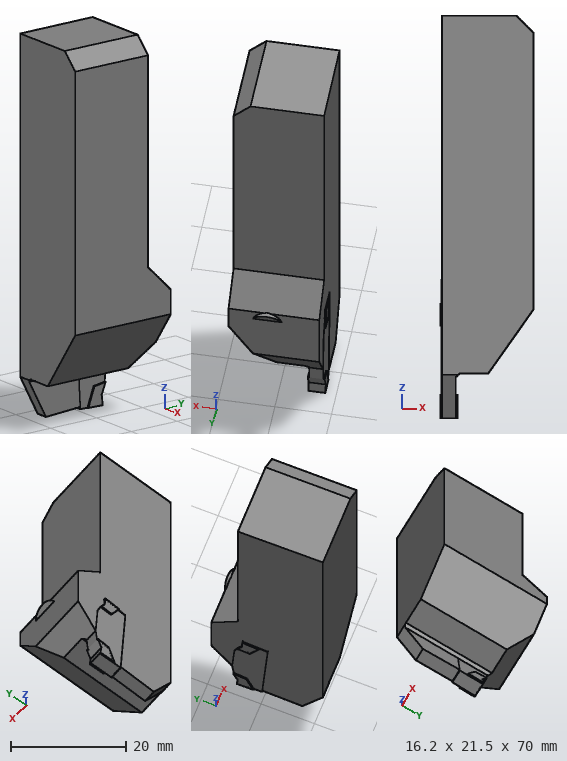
import cadquery as cq
import math

LENGTH = 70.0
SHANK = 15.9
TOP_CHAMFER = 3.0
FACE_DRAFT = 0.15

OVERHANG_Y = 20.85
OVERHANG_TOP_Z = 23.45
OVERHANG_LOW_Z = 12.9
BLADE_THICKNESS = 2.4
BLADE_TOP_Z = 7.8
BLADE_ROOT_CHAMFER = 0.6
UNDERSIDE_X = 8.0
SIDE_BEVEL_Z = 19.0
FRONT_BEVEL_Y = 3.85
FRONT_BEVEL_Z = 7.55
BLADE_FRONT_Z = 0.1
BLADE_BACK_Z = 0.5

BOSS_RADIUS = 2.7
BOSS_TILT = 22.0
BOSS_X = 9.0
BOSS_PEAK_Y = 21.5
BOSS_PEAK_Z = 23.25
BOSS_DEPTH = 1.4

INSERT_BODY_OUTER_X = -0.15
OVERALL_WIDTH = 16.25
END_OUTER_X = SHANK - OVERALL_WIDTH
END_INNER_X = 2.65
LOWER_TIP = (16.0, 0.0)
LOWER_RELIEF = (15.8, 1.95)
LOWER_SHOULDER = (16.65, 4.1)
SEAT_BACK = (16.95, 6.9)
SEAT_FRONT = (11.35, 0.1)
UPPER_SHOULDER = (15.9, 16.25)
UPPER_RELIEF = (15.05, 17.9)
UPPER_TIP = (15.0, 19.95)
INSERT_OUTLINE = [
    SEAT_FRONT,
    LOWER_TIP,
    LOWER_RELIEF,
    LOWER_SHOULDER,
    SEAT_BACK,
    (16.5, 14.35),
    UPPER_SHOULDER,
    UPPER_RELIEF,
    UPPER_TIP,
    (10.3, 19.45),
]
LOWER_END_OUTLINE = [(12.9, 0.1), LOWER_TIP, LOWER_RELIEF, LOWER_SHOULDER, (14.2, 3.8)]
UPPER_END_OUTLINE = [(11.9, 19.6), (13.5, 16.1), UPPER_SHOULDER, UPPER_RELIEF, UPPER_TIP]


def side_plate(outline, x_start, x_end):
    """Plate with a (y, z) outline, between two X positions."""
    return cq.Workplane("YZ", origin=(x_start, 0, 0)).polyline(outline).close().extrude(x_end - x_start)


def make_insert():
    body = side_plate(INSERT_OUTLINE, INSERT_BODY_OUTER_X, BLADE_THICKNESS)
    for outline in (LOWER_END_OUTLINE, UPPER_END_OUTLINE):
        body = body.union(side_plate(outline, END_OUTER_X, END_INNER_X))
    return body


def make_boss():
    tilt = math.radians(BOSS_TILT)
    face_center = (
        BOSS_X,
        BOSS_PEAK_Y - BOSS_RADIUS * math.sin(tilt),
        BOSS_PEAK_Z - BOSS_RADIUS * math.cos(tilt),
    )
    face = cq.Plane(
        origin=face_center,
        xDir=(1, 0, 0),
        normal=(0, math.cos(tilt), -math.sin(tilt)),
    )
    return cq.Workplane(face).circle(BOSS_RADIUS).extrude(-BOSS_DEPTH)


def make_holder(insert):
    overhang_rise = OVERHANG_Y - SHANK
    side_outline = [
        (0, LENGTH),
        (SHANK, LENGTH),
        (SHANK, OVERHANG_TOP_Z + overhang_rise),
        (OVERHANG_Y, OVERHANG_TOP_Z),
        (OVERHANG_Y, OVERHANG_LOW_Z),
        SEAT_BACK,
        (SEAT_FRONT[0], BLADE_BACK_Z),
        (FRONT_BEVEL_Y, BLADE_FRONT_Z),
        (0, FRONT_BEVEL_Z),
    ]
    side = side_plate(side_outline, -FACE_DRAFT, SHANK)

    front_outline = [
        (-FACE_DRAFT, LENGTH),
        (SHANK - TOP_CHAMFER, LENGTH),
        (SHANK, LENGTH - TOP_CHAMFER),
        (SHANK, SIDE_BEVEL_Z),
        (UNDERSIDE_X, BLADE_TOP_Z),
        (BLADE_THICKNESS + BLADE_ROOT_CHAMFER, BLADE_TOP_Z),
        (BLADE_THICKNESS, BLADE_TOP_Z - BLADE_ROOT_CHAMFER),
        (BLADE_THICKNESS, 0),
        (-FACE_DRAFT, 0),
    ]
    front = cq.Workplane("XZ").polyline(front_outline).close().extrude(-OVERHANG_Y)

    plan_outline = [(0, 0), (SHANK, 0), (SHANK, OVERHANG_Y), (-FACE_DRAFT, OVERHANG_Y)]
    plan = cq.Workplane("XY").polyline(plan_outline).close().extrude(LENGTH)

    return side.intersect(front).intersect(plan).union(make_boss()).cut(insert)


insert = make_insert()
holder = make_holder(insert)
result = cq.Compound.makeCompound([*holder.solids().vals(), *insert.solids().vals()])